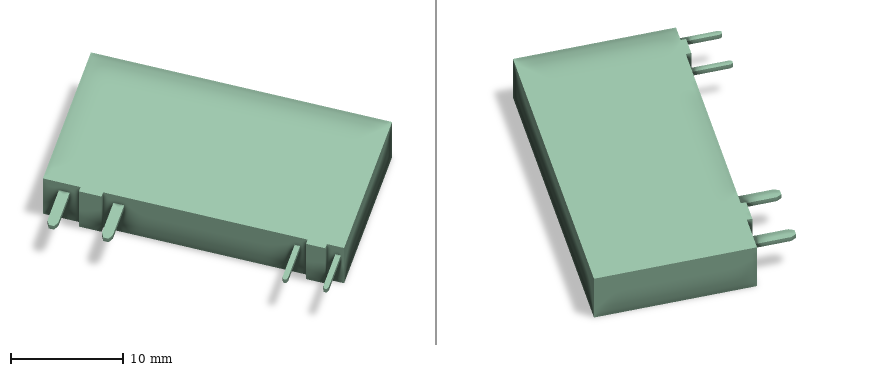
import cadquery as cq

body_length = 28.0
body_depth = 15.05
body_height = 5.0

standoff_depth = 0.5
standoffs = [(3.5, 2.1), (24.6, 1.8)]

pin_length = 4.05
pin_thickness = 0.5
pin_center_z = 3.6

wide_pin_centers = [2.0, 7.05]
wide_pin_width = 1.0
wide_tip_length = 0.5
wide_tip_inset = 0.25

narrow_pin_centers = [23.65, 27.45]
narrow_pin_width = 0.5
narrow_tip_length = 0.25
narrow_tip_inset = 0.1


def make_standoff(left, width):
    """Pad rising from the pin-side face over the full housing height."""
    return cq.Workplane("XY").box(width, standoff_depth, body_height, centered=False).translate(
        (left, -standoff_depth, 0)
    )


def make_pin(center_x, width, tip_length, tip_inset):
    """Flat pin pointing toward -Y, narrowing symmetrically at its tip."""
    half_width = width / 2
    half_tip = half_width - tip_inset
    taper_start = -pin_length + tip_length
    outline = [
        (center_x - half_width, 0),
        (center_x - half_width, taper_start),
        (center_x - half_tip, -pin_length),
        (center_x + half_tip, -pin_length),
        (center_x + half_width, taper_start),
        (center_x + half_width, 0),
    ]
    bottom_z = pin_center_z - pin_thickness / 2
    return cq.Workplane("XY", origin=(0, 0, bottom_z)).polyline(outline).close().extrude(pin_thickness)


result = cq.Workplane("XY").box(body_length, body_depth, body_height, centered=False)

for left, width in standoffs:
    result = result.union(make_standoff(left, width))

for center_x in wide_pin_centers:
    result = result.union(make_pin(center_x, wide_pin_width, wide_tip_length, wide_tip_inset))

for center_x in narrow_pin_centers:
    result = result.union(make_pin(center_x, narrow_pin_width, narrow_tip_length, narrow_tip_inset))